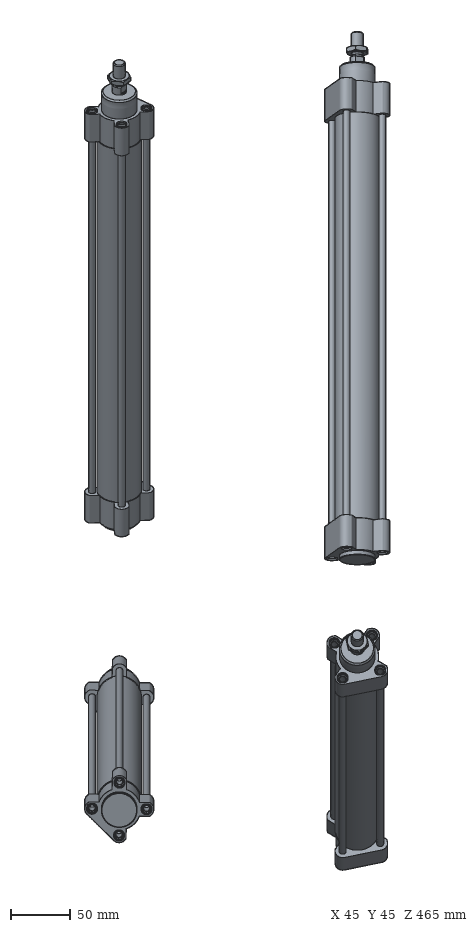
import cadquery as cq
import math

total_height = 465.0
rear_cover_bottom = 3.5
cover_height = 28.0
head_cover_top = 417.5
collar_top = 436.0
flats_bottom = 437.0
rod_shoulder = 443.2
nut_bottom = 447.0
nut_height = 4.5
rear_cover_top = rear_cover_bottom + cover_height
head_cover_bottom = head_cover_top - cover_height

cover_width = 45.0
waist_diameter = 36.5
recess_half_width = 14.0
recess_rim_radius = 2.0
cover_half_width = cover_width / 2
screw_offset = 16.5
corner_sides = (-screw_offset, screw_offset)
corner_positions = [(x, y) for x in corner_sides for y in corner_sides]

mouth_diameter = 9.5
seat_diameter = 8.0
thread_diameter = 6.0
core_diameter = 5.0
mouth_depth = 1.5
seat_depth = 3.0
thread_depth = 3.5
core_depth = 16.5
drill_point_angle = 118.0

barrel_diameter = 37.5
tie_rod_diameter = 6.0

collar_diameter = 30.0
head_collar_chamfer = 1.5
rear_collar_chamfer = 0.5
groove_bottom = 428.0
groove_depth = 0.25

rod_diameter = 12.0
rod_flat_width = 9.8
thread_major_diameter = 10.0
thread_end_diameter = 8.5
thread_tip_chamfer = 1.0
thread_runout_height = 2.5
neck_height = 2.0
nut_across_flats = 17.0
nut_sides = 6
nut_face_diameter = 16.7
nut_chamfer_angle = 30.0


full_turn = 360


def cylinder(diameter, bottom, top):
    return cq.Workplane("XY").workplane(offset=bottom).circle(diameter / 2).extrude(top - bottom)


def side_recess(bottom, height):
    """Cutter for the -Y side: sloped at 45 degrees down to the round waist."""
    recess_depth = cover_half_width / 2
    inner_half_width = recess_half_width - recess_depth
    inner_y = recess_depth - cover_half_width
    blank = (
        cq.Workplane("XY")
        .workplane(offset=bottom)
        .polyline([
            (-recess_half_width, -cover_half_width),
            (recess_half_width, -cover_half_width),
            (inner_half_width, inner_y),
            (-inner_half_width, inner_y),
        ])
        .close()
        .extrude(height)
    )
    return blank.cut(cylinder(waist_diameter, bottom, bottom + height))


def recess_rim_edges(bottom):
    """Selector for the six upright edges where the recesses meet the cover's sides."""
    near = recess_half_width
    far = cover_half_width
    rim_points = [(-near, -far), (near, -far), (-far, -near), (-far, near), (far, -near), (far, near)]
    selector = None
    for x, y in rim_points:
        at_point = cq.selectors.NearestToPointSelector((x, y, bottom + cover_height / 2))
        selector = at_point if selector is None else selector + at_point
    return selector


def cover(bottom):
    """Square cover waisted on three sides; the +Y side stays flat."""
    body = (
        cq.Workplane("XY")
        .workplane(offset=bottom)
        .rect(cover_width, cover_width)
        .extrude(cover_height)
        .edges("|Z")
        .fillet(cover_half_width - screw_offset)
    )
    recess = side_recess(bottom, cover_height)
    for turn in (-90, 0, 90):
        body = body.cut(recess.rotate((0, 0, 0), (0, 0, 1), turn))
    return body.edges(recess_rim_edges(bottom)).fillet(recess_rim_radius)


def screw_hole():
    """Cutter for one corner hole, mouth at the origin and running down."""
    core_radius = core_diameter / 2
    point_height = core_radius / math.tan(math.radians(drill_point_angle / 2))
    return (
        cq.Workplane("XZ")
        .polyline([
            (0, 0),
            (mouth_diameter / 2, 0),
            (mouth_diameter / 2, -mouth_depth),
            (seat_diameter / 2, -mouth_depth),
            (seat_diameter / 2, -seat_depth),
            (thread_diameter / 2, -thread_depth),
            (core_radius, -thread_depth),
            (core_radius, -core_depth),
            (0, -core_depth - point_height),
        ])
        .close()
        .revolve(full_turn, (0, 0, 0), (0, 1, 0))
    )


def head_collar():
    """Collar around the rod, with a shallow rounded groove below its chamfered rim."""
    radius = collar_diameter / 2
    groove_top = collar_top - head_collar_chamfer
    return (
        cq.Workplane("XZ")
        .moveTo(0, head_cover_top)
        .lineTo(radius, head_cover_top)
        .lineTo(radius, groove_bottom)
        .threePointArc((radius - groove_depth, (groove_bottom + groove_top) / 2), (radius, groove_top))
        .lineTo(radius - head_collar_chamfer, collar_top)
        .lineTo(0, collar_top)
        .close()
        .revolve(full_turn, (0, 0, 0), (0, 1, 0))
    )


def rear_collar():
    """Short locating collar below the rear cover."""
    return cylinder(collar_diameter, 0, rear_cover_bottom).faces("<Z").chamfer(rear_collar_chamfer)


def housing_body():
    """Barrel, tie rods, both covers and collars, bored for the piston rod."""
    body = cover(rear_cover_bottom).union(cover(head_cover_bottom))
    body = body.union(cylinder(barrel_diameter, rear_cover_top, head_cover_bottom))
    tie_rod = cylinder(tie_rod_diameter, rear_cover_top, head_cover_bottom)
    for x, y in corner_positions:
        body = body.union(tie_rod.translate((x, y, 0)))
    body = body.union(head_collar()).union(rear_collar())
    top_hole = screw_hole()
    bottom_hole = top_hole.mirror("XY")
    for x, y in corner_positions:
        body = body.cut(top_hole.translate((x, y, head_cover_top)))
        body = body.cut(bottom_hole.translate((x, y, rear_cover_bottom)))
    return body.cut(cylinder(rod_diameter, head_cover_bottom, collar_top))


def piston_rod_body():
    """Rod with two wrench flats, an undercut and a threaded end."""
    end_radius = thread_end_diameter / 2
    thread_radius = thread_major_diameter / 2
    neck_top = rod_shoulder + neck_height
    rod = (
        cq.Workplane("XZ")
        .polyline([
            (0, head_cover_bottom),
            (rod_diameter / 2, head_cover_bottom),
            (rod_diameter / 2, rod_shoulder),
            (end_radius, rod_shoulder),
            (end_radius, neck_top),
            (thread_radius, neck_top + thread_runout_height),
            (thread_radius, total_height - thread_tip_chamfer),
            (end_radius, total_height),
            (0, total_height),
        ])
        .close()
        .revolve(full_turn, (0, 0, 0), (0, 1, 0))
    )
    flats_height = rod_shoulder - flats_bottom
    flats = (
        cq.Workplane("XY")
        .workplane(offset=flats_bottom)
        .rect(2 * rod_diameter, 2 * rod_diameter)
        .rect(rod_flat_width, 2 * rod_diameter)
        .extrude(flats_height)
    )
    return rod.cut(flats)


def nut_body():
    """Hexagon nut with corners on the Y axis."""
    corner_radius = nut_across_flats / 2 / math.cos(math.pi / nut_sides)
    face_radius = nut_face_diameter / 2
    chamfer_drop = (corner_radius - face_radius) * math.tan(math.radians(nut_chamfer_angle))
    nut_top = nut_bottom + nut_height
    hexagon = (
        cq.Workplane("XY")
        .workplane(offset=nut_bottom)
        .polygon(nut_sides, 2 * corner_radius)
        .extrude(nut_height)
        .rotate((0, 0, 0), (0, 0, 1), 90)
    )
    chamfered_blank = (
        cq.Workplane("XZ")
        .polyline([
            (0, nut_bottom),
            (face_radius, nut_bottom),
            (corner_radius, nut_bottom + chamfer_drop),
            (corner_radius, nut_top - chamfer_drop),
            (face_radius, nut_top),
            (0, nut_top),
        ])
        .close()
        .revolve(full_turn, (0, 0, 0), (0, 1, 0))
    )
    return hexagon.intersect(chamfered_blank).cut(cylinder(thread_major_diameter, nut_bottom, nut_top))


housing = housing_body()
piston_rod = piston_rod_body()
nut = nut_body()
result = cq.Compound.makeCompound([housing.val(), piston_rod.val(), nut.val()])